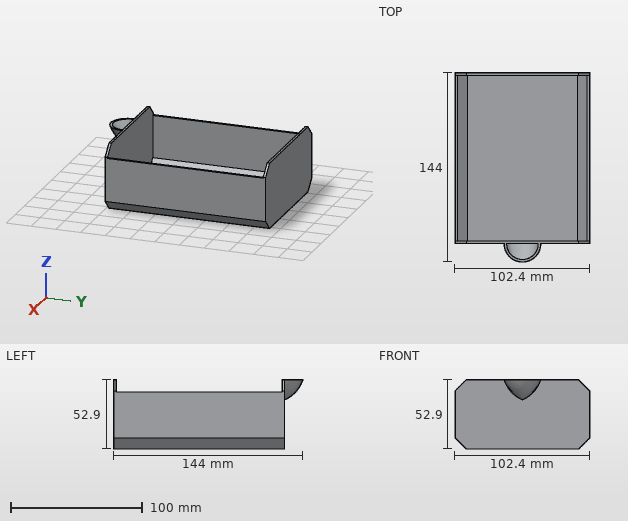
import cadquery as cq
import math

width = 102.39
length = 130.0
height = 52.9
wall = 2.0
corner_cut = 8.5
side_height = 43.5

scoop_radius = 14.0
scoop_depth = 15.4
scoop_bulge = 2.2


def octagon(inset, y_start, depth):
    """Bar along Y whose section is the tray's cut-corner rectangle, inset on all sides."""
    cut = corner_cut - inset * (2 - math.sqrt(2))
    return (
        cq.Workplane("XY")
        .box(width - 2 * inset, depth, height - 2 * inset, centered=(True, False, False))
        .edges("|Y")
        .chamfer(cut)
        .translate((0, y_start, inset))
    )


def make_tray():
    """Open tray with full-height end walls and lower side walls."""
    inner_length = length - 2 * wall
    cavity = octagon(wall, wall, inner_length)
    side_trim = cq.Workplane("XY").box(width, inner_length, height, centered=(True, False, False))
    side_trim = side_trim.translate((0, wall, side_height))
    return octagon(0, 0, length).cut(cavity).cut(side_trim)


def make_bowl():
    """Pointed round bowl hanging from the top plane, revolved from one bulging arc."""
    chord = math.hypot(scoop_radius, scoop_depth)
    arc_middle = (
        scoop_radius / 2 + scoop_bulge * scoop_depth / chord,
        -scoop_depth / 2 - scoop_bulge * scoop_radius / chord,
    )
    return (
        cq.Workplane("XZ")
        .moveTo(0, 0)
        .lineTo(scoop_radius, 0)
        .threePointArc(arc_middle, (0, -scoop_depth))
        .close()
        .revolve(360, (0, 0, 0), (0, 1, 0))
        .translate((0, 0, height))
    )


def make_finger_hollow():
    """Round hollow of constant horizontal section, running down and back at 45 degrees."""
    radius = scoop_radius - wall
    return (
        cq.Workplane("XY", origin=(0, 0, height))
        .circle(radius)
        .workplane(offset=-radius)
        .center(0, radius)
        .circle(radius)
        .loft(ruled=True)
    )


def make_scoop():
    """Hollowed half bowl standing out from the front wall."""
    front_space = cq.Workplane("XY").box(
        2 * scoop_radius, scoop_radius, height, centered=(True, False, False)
    )
    front_space = front_space.translate((0, -scoop_radius, 0))
    return make_bowl().cut(make_finger_hollow()).intersect(front_space)


result = make_tray().union(make_scoop())